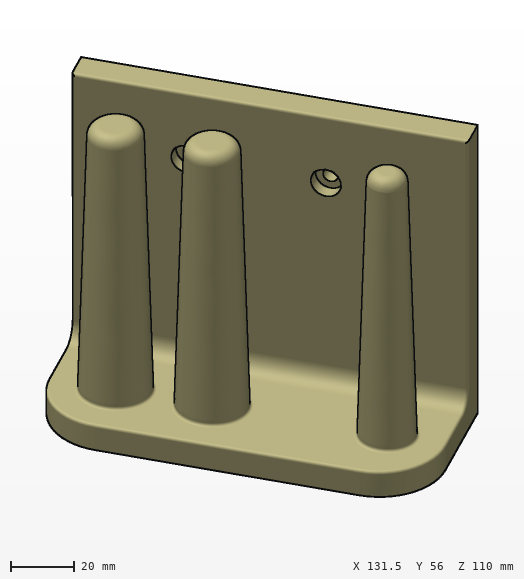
import cadquery as cq

LENGTH = 131.5
DEPTH = 56.0
HEIGHT = 110.0
WALL = 10.0
CORNER_RADIUS = 22.0
INNER_RADIUS = 6.0
EDGE_ROUND = 1.0

LARGE_POST_DIAMETER = 24.0
SMALL_POST_DIAMETER = 19.0
POST_END_MARGIN = 10.0
LARGE_POST_GAP = 8.0
SMALL_POST_GAP = 36.5
POST_TAPER = 3.0
POST_COLLAR_HEIGHT = 2.0
POST_TIP_ROUND = 4.0
POST_FOOT_FILLET = 1.0
POST_ROOT_Z = WALL / 2
POST_Y = -(DEPTH - CORNER_RADIUS)

FIRST_POST_X = POST_END_MARGIN + LARGE_POST_DIAMETER / 2
SECOND_POST_X = FIRST_POST_X + LARGE_POST_DIAMETER + LARGE_POST_GAP
THIRD_POST_X = SECOND_POST_X + (LARGE_POST_DIAMETER + SMALL_POST_DIAMETER) / 2 + SMALL_POST_GAP
POSTS = [
    (FIRST_POST_X, LARGE_POST_DIAMETER),
    (SECOND_POST_X, LARGE_POST_DIAMETER),
    (THIRD_POST_X, SMALL_POST_DIAMETER),
]

SCREW_DIAMETER = 5.0
SCREW_HEAD_DIAMETER = 10.0
SCREW_HEAD_DEPTH = 5.0
SCREW_Z = 85.0


def make_bracket():
    """L-shaped wall plate and shelf with rounded shelf corners and softened edges."""
    profile = [(0, 0), (-DEPTH, 0), (-DEPTH, WALL), (-WALL, WALL), (-WALL, HEIGHT), (0, HEIGHT)]
    bracket = cq.Workplane("YZ").polyline(profile).close().extrude(LENGTH)
    bracket = bracket.edges("|Z and <Y").fillet(CORNER_RADIUS)
    inner_corner = cq.selectors.NearestToPointSelector((LENGTH / 2, -WALL, WALL))
    bracket = bracket.edges(inner_corner).fillet(INNER_RADIUS)

    shelf_rim = cq.selectors.NearestToPointSelector((LENGTH / 2, -DEPTH, WALL))
    plate_top_rim = cq.selectors.NearestToPointSelector((LENGTH / 2, -WALL, HEIGHT))
    rim = cq.selectors.SumSelector(shelf_rim, plate_top_rim)
    bracket = bracket.edges(rim).fillet(EDGE_ROUND)
    return bracket.faces("<Z").edges().fillet(EDGE_ROUND)


def make_post(x, diameter):
    """Round post: short straight collar, tapered shaft and rounded tip."""
    foot_radius = diameter / 2
    tip_radius = foot_radius - POST_TAPER
    collar_top = WALL + POST_COLLAR_HEIGHT
    half_profile = [
        (0, POST_ROOT_Z),
        (foot_radius, POST_ROOT_Z),
        (foot_radius, collar_top),
        (tip_radius, HEIGHT),
        (0, HEIGHT),
    ]
    post = cq.Workplane("XZ").polyline(half_profile).close().revolve(360, (0, 0), (0, 1))
    post = post.edges(">Z").fillet(POST_TIP_ROUND)
    return post.translate((x, POST_Y, 0))


def cut_screw_hole(body, x):
    """Screw hole through the wall plate, counterbored from the front."""
    front = cq.Workplane("XZ", origin=(x, -WALL, SCREW_Z))
    shank = front.circle(SCREW_DIAMETER / 2).extrude(-WALL)
    head = front.circle(SCREW_HEAD_DIAMETER / 2).extrude(-SCREW_HEAD_DEPTH)
    return body.cut(shank).cut(head)


def gap_centre(left_post, right_post):
    """Middle of the clear space between two posts."""
    left_x, left_diameter = left_post
    right_x, right_diameter = right_post
    return (left_x + left_diameter / 2 + right_x - right_diameter / 2) / 2


def add_post(body, x, diameter):
    """Join a post to the shelf and fillet the seam around its foot."""
    joined = body.union(make_post(x, diameter))
    around_foot = cq.selectors.BoxSelector(
        (x - diameter, POST_Y - diameter, WALL - POST_FOOT_FILLET / 2),
        (x + diameter, POST_Y + diameter, WALL + POST_FOOT_FILLET / 2),
    )
    return joined.edges("%CIRCLE").edges(around_foot).fillet(POST_FOOT_FILLET)


result = make_bracket()
for post_x, post_diameter in POSTS:
    result = add_post(result, post_x, post_diameter)
for left, right in zip(POSTS, POSTS[1:]):
    result = cut_screw_hole(result, gap_centre(left, right))